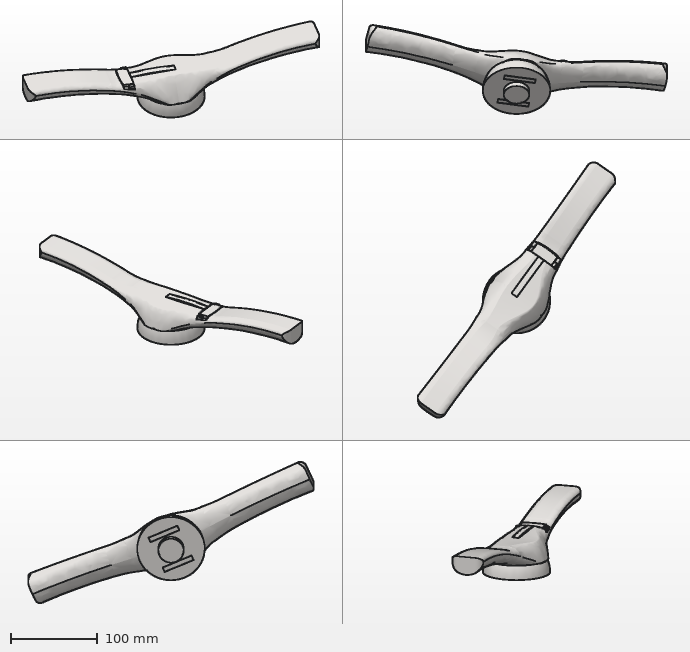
import cadquery as cq
import math

half_length = 175.0

pin_radius = 14.7
base_bottom = 6.3
base_top = 22.5
base_diameter = 78.0
base_radius = base_diameter / 2
base_top_radius = 35.0
dome_middle_radius = 38.0
strip_inner_x = 17.0
strip_outer_x = 23.0
strip_length = 36.5
strip_drop = 0.7

tip_top = 66.5
tip_side = 61.0
tip_bottom = 45.0
top_arc_radius = 350.0
side_arc_radius = 364.0
bottom_arc_radius = 448.0
hub_top = 49.0
tip_corner_radius = 9.8
tip_outline_half_width = 19.5

hub_end = 49.0
neck_end = 75.5
waist = 119.0
hub_steps = 4
hub_end_half_width = 21.7
neck_middle_half_width = 20.0
neck_half_width = 19.2
waist_half_width = 18.5
tip_half_width = 19.2
hub_end_flat = 8.0
grip_flat = 10.0

hub_left_half_width = 37.0
hub_right_half_width = 35.7
hub_left_flat = 24.5
hub_right_flat = 13.0
ridge_dip = 2.8
quarter_ellipse = 4 / 3 * (math.sqrt(2) - 1)
hub_left_fullness = 0.33
hub_right_fullness = 0.2

rib_half_width = 4.0
rib_start_y = 4.5
rib_start_z = 48.3
rib_crest_z = 50.0
rib_end_z = 49.5
latch_half_width = 14.5
latch_end = 61.5
latch_bow = 1.0
latch_near_z = 48.0
latch_far_z = 49.0
pocket_near_z = 43.0
pocket_far_z = 46.0
pocket_half_width = 28.0
latch_gap = 0.7
lug_outer_x = 18.2
lug_length = 6.3
lug_top = 47.0
buried_floor = 38.5
above_part = 70.0


def arc_height(tip_height, radius, distance):
    """Height of an arc that is level at the tip and falls towards the hub."""
    run = half_length - distance
    return tip_height - (radius - math.sqrt(radius**2 - run**2))


def blend(start, end, share):
    """Value the given share of the way from start to end."""
    return start + (end - start) * share


def quarter_curve(start, end, corner, fullness):
    """Curve from start to end, bulging towards the corner point."""
    near_start = [blend(a, c, fullness) for a, c in zip(start, corner)]
    near_end = [blend(b, c, fullness) for b, c in zip(end, corner)]
    points = (start, near_start, near_end, end)
    return cq.Edge.makeBezier([cq.Vector(*p) for p in points])


def section(distance, left, right, left_flat, right_flat, dip=0.0,
            left_fullness=quarter_ellipse, right_fullness=quarter_ellipse):
    """Cross-section: flat top, two shoulders and a half-elliptical belly."""
    top = max(hub_top, arc_height(tip_top, top_arc_radius, distance))
    side = arc_height(tip_side, side_arc_radius, distance)
    bottom = arc_height(tip_bottom, bottom_arc_radius, distance)
    ridge = top - dip

    def at(x, z):
        return (x, distance, z)

    edges = [
        cq.Edge.makeLine(cq.Vector(at(-left_flat, ridge)), cq.Vector(at(right_flat, top))),
        quarter_curve(at(right_flat, top), at(right, side), at(right, top), right_fullness),
        quarter_curve(at(right, side), at(0, bottom), at(right, bottom), quarter_ellipse),
        quarter_curve(at(0, bottom), at(-left, side), at(-left, bottom), quarter_ellipse),
        quarter_curve(at(-left, side), at(-left_flat, ridge), at(-left, ridge), left_fullness),
    ]
    return cq.Wire.assembleEdges(edges)


def hub_section(distance):
    """Hub section, fading from the wide middle to the narrow hub end."""
    share = math.cos(math.pi / 2 * distance / hub_end) ** 2
    return section(
        distance,
        blend(hub_end_half_width, hub_left_half_width, share),
        blend(hub_end_half_width, hub_right_half_width, share),
        blend(hub_end_flat, hub_left_flat, share),
        blend(hub_end_flat, hub_right_flat, share),
        ridge_dip * share,
        blend(quarter_ellipse, hub_left_fullness, share),
        blend(quarter_ellipse, hub_right_fullness, share),
    )


def arm_section(distance, half_width, flat):
    return section(distance, half_width, half_width, flat, flat)


def make_arm():
    """One half of the handle, from the hub axis to the +Y tip."""
    hub = [hub_section(hub_end * i / hub_steps) for i in range(hub_steps + 1)]
    neck_middle = (hub_end + neck_end) / 2
    neck = [
        arm_section(hub_end, hub_end_half_width, hub_end_flat),
        arm_section(neck_middle, neck_middle_half_width, grip_flat),
        arm_section(neck_end, neck_half_width, grip_flat),
    ]
    grip = [
        arm_section(neck_end, neck_half_width, grip_flat),
        arm_section(waist, waist_half_width, grip_flat),
        arm_section(half_length, tip_half_width, grip_flat),
    ]
    arm = cq.Workplane(cq.Solid.makeLoft(hub))
    for wires in (neck, grip):
        arm = arm.union(cq.Workplane(cq.Solid.makeLoft(wires)))
    return arm


def make_tip_outline():
    """Block standing on the base that rounds the tips in plan and clears the hub."""
    plan = cq.Workplane(origin=(0, 0, base_top))
    ends = (
        plan.rect(2 * tip_outline_half_width, 2 * half_length)
        .extrude(above_part)
        .edges("|Z")
        .fillet(tip_corner_radius)
    )
    middle = plan.rect(2 * base_diameter, 2 * waist).extrude(above_part)
    return ends.union(middle)


def make_base():
    """Domed base with its pin, turned about Z."""
    dome_middle = (dome_middle_radius, (base_bottom + base_top) / 2)
    profile = (
        cq.Workplane("XZ")
        .lineTo(pin_radius, 0)
        .lineTo(pin_radius, base_bottom)
        .lineTo(base_radius, base_bottom)
        .threePointArc(dome_middle, (base_top_radius, base_top))
        .lineTo(0, base_top)
        .close()
    )
    return profile.revolve(360, (0, 0, 0), (0, 1, 0))


def make_foot_strips():
    """Two thin strips under the base, one on each side of the pin."""
    middle = (strip_inner_x + strip_outer_x) / 2
    return (
        cq.Workplane(origin=(0, 0, base_bottom - strip_drop))
        .pushPoints([(-middle, 0), (middle, 0)])
        .rect(strip_outer_x - strip_inner_x, strip_length)
        .extrude(2 * strip_drop)
    )


def make_rib():
    """Pointer rib with a slightly arched top, ending at the latch."""
    crest = ((rib_start_y - hub_end) / 2, rib_crest_z)
    return (
        cq.Workplane("YZ")
        .moveTo(rib_start_y, buried_floor)
        .lineTo(rib_start_y, rib_start_z)
        .threePointArc(crest, (-hub_end, rib_end_z))
        .lineTo(-hub_end, buried_floor)
        .close()
        .extrude(rib_half_width, both=True)
    )


def latch_outline(gap, floor):
    """Upright block with the plan of the latch, its bowed edge moved out by the gap."""
    end = -latch_end - gap
    return (
        cq.Workplane(origin=(0, 0, floor))
        .moveTo(-latch_half_width, -hub_end)
        .lineTo(-latch_half_width, end)
        .threePointArc((0, end - latch_bow), (latch_half_width, end))
        .lineTo(latch_half_width, -hub_end)
        .close()
        .extrude(above_part)
    )


def make_pocket():
    """Cross slot with a rising floor, bowed out to leave a gap past the latch."""
    slot = (
        cq.Workplane("YZ")
        .polyline([
            (-hub_end, pocket_near_z),
            (-latch_end, pocket_far_z),
            (-latch_end, above_part),
            (-hub_end, above_part),
        ])
        .close()
        .extrude(pocket_half_width, both=True)
    )
    return slot.union(latch_outline(latch_gap, pocket_far_z))


def make_latch():
    """Latch plate with a sloping top and bowed outer edge, between two lugs."""
    outer_y = -latch_end - latch_bow
    side = (
        cq.Workplane("YZ")
        .polyline([
            (-hub_end, buried_floor),
            (-hub_end, latch_near_z),
            (outer_y, latch_far_z),
            (outer_y, buried_floor),
        ])
        .close()
        .extrude(latch_half_width, both=True)
    )
    lugs = (
        cq.Workplane(origin=(0, -hub_end - lug_length / 2, buried_floor))
        .rect(2 * lug_outer_x, lug_length)
        .extrude(lug_top - buried_floor)
    )
    return latch_outline(0, buried_floor).intersect(side).union(lugs)


arm = make_arm()
handle = arm.union(arm.mirror("XZ")).intersect(make_tip_outline())
body = handle.union(make_base()).union(make_foot_strips()).union(make_rib())
result = body.cut(make_pocket()).union(make_latch())